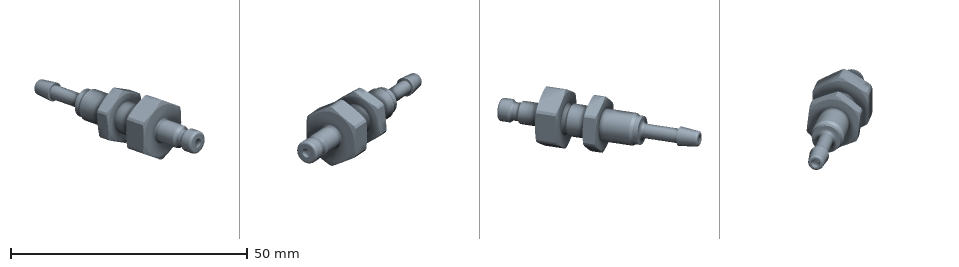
import cadquery as cq
import math


TOTAL_LENGTH = 45.0
BORE_DIAMETER = 2.0

BARB_TIP_RADIUS = 3.38 / 2
BARB_CREST_RADIUS = 2.05
BARB_CREST_START = 4.25
BARB_END = 4.5
BARB_TIP_ROUND = 0.5
TUBE_RADIUS = 3.1 / 2
TUBE_ROOT_ROUND = 0.8

SHANK_START = 12.95
PILOT_RADIUS = 6.2 / 2
PILOT_END = 14.05
THREAD_START = 14.7
THREAD_RADIUS = 7.0 / 2
THREAD_END = 28.8
RELIEF_RADIUS = 6.2 / 2
RELIEF_TOP_RADIUS = 3.45
RELIEF_ROOT_ROUND = 0.22

FLANGE_START = 30.05
FLANGE_END = 35.05
FLANGE_ACROSS_FLATS = 12.0
FLANGE_CORNER_DIAMETER = 13.5
FLANGE_CORNER_ANGLE = 30.0

PLUG_RADIUS = 5.0 / 2
PLUG_ROOT_ROUND = 0.35
PLUG_TIP_ROUND = 0.55
GROOVE_START = 40.15
GROOVE_END = 42.5
GROOVE_RADIUS = 3.95 / 2
GROOVE_ROOT_ROUND = 0.6

NUT_START = 21.45
NUT_END = 24.5
NUT_ACROSS_FLATS = 11.0
NUT_CORNER_DIAMETER = 12.38
NUT_CORNER_ANGLE = 23.5

HEX_SIDES = 6
HEX_CHAMFER_ANGLE = 15.0
HEX_FAR_FACE_INSET = 0.22

GROOVE_SLOPE = math.radians(45.0)


def quarter_arc_middle(center, radius, direction_x, direction_r):
    """Point halfway along a quarter round about center, on the given diagonal side."""
    offset = radius * math.sqrt(0.5)
    return (center[0] + direction_x * offset, center[1] + direction_r * offset)


def add_groove(profile, start, start_radius, end, end_radius, floor_radius, root_round):
    """Continue a profile from the start of a groove to its end.

    Each flank is a cone that runs tangentially into a round at the groove floor.
    """
    round_length = root_round * math.sin(GROOVE_SLOPE)
    round_top = floor_radius + root_round * (1 - math.cos(GROOVE_SLOPE))
    middle_length = root_round * math.sin(GROOVE_SLOPE / 2)
    middle_radius = floor_radius + root_round * (1 - math.cos(GROOVE_SLOPE / 2))
    start_cone_end = start + (start_radius - round_top) / math.tan(GROOVE_SLOPE)
    end_cone_start = end - (end_radius - round_top) / math.tan(GROOVE_SLOPE)
    floor_start = start_cone_end + round_length
    floor_end = end_cone_start - round_length
    return (
        profile.lineTo(start_cone_end, round_top)
        .threePointArc((floor_start - middle_length, middle_radius), (floor_start, floor_radius))
        .lineTo(floor_end, floor_radius)
        .threePointArc((floor_end + middle_length, middle_radius), (end_cone_start, round_top))
        .lineTo(end, end_radius)
    )


def make_hexagon(start, end, across_flats, corner_diameter, corner_angle):
    """Hexagon along X with cylindrical corners and conical chamfers on both ends.

    corner_angle is measured about X, from the Y axis on the -Y side toward +Z.
    """
    across_corners = across_flats / math.cos(math.pi / HEX_SIDES)
    prism = (
        cq.Workplane("YZ", origin=(start, 0, 0))
        .polygon(HEX_SIDES, across_corners)
        .extrude(end - start)
        .rotate((0, 0, 0), (1, 0, 0), -corner_angle)
    )
    face_radius = across_flats / 2
    corner_radius = corner_diameter / 2
    far_face_radius = face_radius - HEX_FAR_FACE_INSET
    chamfer_slope = math.tan(math.radians(HEX_CHAMFER_ANGLE))
    near_chamfer = (corner_radius - face_radius) * chamfer_slope
    far_chamfer = (corner_radius - far_face_radius) * chamfer_slope
    envelope = (
        cq.Workplane("XY")
        .moveTo(start, 0)
        .lineTo(start, face_radius)
        .lineTo(start + near_chamfer, corner_radius)
        .lineTo(end - far_chamfer, corner_radius)
        .lineTo(end, far_face_radius)
        .lineTo(end, 0)
        .close()
        .revolve(360, (0, 0, 0), (1, 0, 0))
    )
    return prism.intersect(envelope)


def make_hose_end_and_shank():
    """Turned barb, tube and threaded shank up to the hexagon flange."""
    tip_center = (BARB_TIP_ROUND, BARB_TIP_RADIUS - BARB_TIP_ROUND)
    tube_root_center = (SHANK_START - TUBE_ROOT_ROUND, TUBE_RADIUS + TUBE_ROOT_ROUND)
    profile = (
        cq.Workplane("XY")
        .lineTo(0, tip_center[1])
        .threePointArc(
            quarter_arc_middle(tip_center, BARB_TIP_ROUND, -1, 1),
            (BARB_TIP_ROUND, BARB_TIP_RADIUS),
        )
        .lineTo(BARB_CREST_START, BARB_CREST_RADIUS)
        .lineTo(BARB_END, BARB_CREST_RADIUS)
        .lineTo(BARB_END, TUBE_RADIUS)
        .lineTo(tube_root_center[0], TUBE_RADIUS)
        .threePointArc(
            quarter_arc_middle(tube_root_center, TUBE_ROOT_ROUND, 1, -1),
            (SHANK_START, tube_root_center[1]),
        )
        .lineTo(SHANK_START, PILOT_RADIUS)
        .lineTo(PILOT_END, PILOT_RADIUS)
        .lineTo(THREAD_START, THREAD_RADIUS)
        .lineTo(THREAD_END, THREAD_RADIUS)
    )
    profile = add_groove(
        profile,
        THREAD_END,
        THREAD_RADIUS,
        FLANGE_START,
        RELIEF_TOP_RADIUS,
        RELIEF_RADIUS,
        RELIEF_ROOT_ROUND,
    )
    return profile.lineTo(FLANGE_START, 0).close().revolve(360, (0, 0, 0), (1, 0, 0))


def make_plug():
    """Turned plug nipple beyond the hexagon flange."""
    root_center = (FLANGE_END + PLUG_ROOT_ROUND, PLUG_RADIUS + PLUG_ROOT_ROUND)
    tip_center = (TOTAL_LENGTH - PLUG_TIP_ROUND, PLUG_RADIUS - PLUG_TIP_ROUND)
    profile = (
        cq.Workplane("XY")
        .moveTo(FLANGE_END, 0)
        .lineTo(FLANGE_END, root_center[1])
        .threePointArc(
            quarter_arc_middle(root_center, PLUG_ROOT_ROUND, -1, -1),
            (root_center[0], PLUG_RADIUS),
        )
        .lineTo(GROOVE_START, PLUG_RADIUS)
    )
    profile = add_groove(
        profile,
        GROOVE_START,
        PLUG_RADIUS,
        GROOVE_END,
        PLUG_RADIUS,
        GROOVE_RADIUS,
        GROOVE_ROOT_ROUND,
    )
    return (
        profile.lineTo(tip_center[0], PLUG_RADIUS)
        .threePointArc(
            quarter_arc_middle(tip_center, PLUG_TIP_ROUND, 1, 1),
            (TOTAL_LENGTH, tip_center[1]),
        )
        .lineTo(TOTAL_LENGTH, 0)
        .close()
        .revolve(360, (0, 0, 0), (1, 0, 0))
    )


def make_fitting():
    """Barbed fitting: hose end, flange and plug in one piece with a through bore."""
    flange = make_hexagon(
        FLANGE_START, FLANGE_END, FLANGE_ACROSS_FLATS, FLANGE_CORNER_DIAMETER, FLANGE_CORNER_ANGLE
    )
    bore = cq.Workplane("YZ").circle(BORE_DIAMETER / 2).extrude(TOTAL_LENGTH)
    return make_hose_end_and_shank().union(flange).union(make_plug()).cut(bore)


def make_locknut():
    """Hexagon locknut whose hole fits the thread of the shank."""
    blank = make_hexagon(
        NUT_START, NUT_END, NUT_ACROSS_FLATS, NUT_CORNER_DIAMETER, NUT_CORNER_ANGLE
    )
    hole = (
        cq.Workplane("YZ", origin=(NUT_START, 0, 0))
        .circle(THREAD_RADIUS)
        .extrude(NUT_END - NUT_START)
    )
    return blank.cut(hole)


fitting = make_fitting()
locknut = make_locknut()
result = cq.Compound.makeCompound([fitting.val(), locknut.val()])